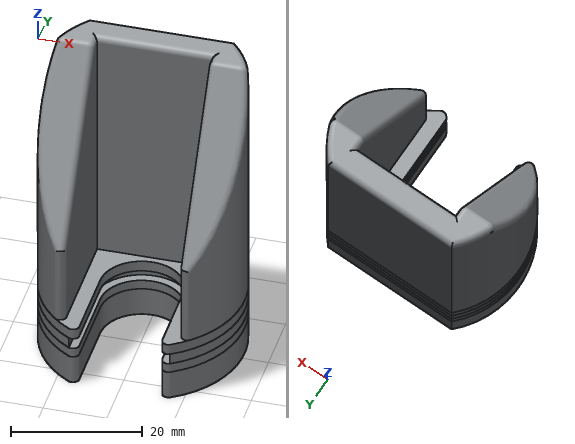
import cadquery as cq
import math

outer_radius = 16.0
back_y = 11.25
total_height = 50.0
edge_radius = 1.0

foot_top = 4.8
lower_plate_top = 6.4
spacer_top = 8.2
upper_plate_top = 10.0

slot_half_width = 6.5
slot_center_y = -0.85
spacer_setback = 1.4

pocket_half_width = 9.0
pocket_back_y = 6.7
slope_top_y = 4.95
slope_angle = 57.6

margin = 5.0
front_limit = -outer_radius - margin


def round_blank(bottom, top):
    """Round slab with a flat back."""
    height = top - bottom
    slab = cq.Workplane("XY").workplane(offset=bottom).circle(outer_radius).extrude(height)
    keep = (
        cq.Workplane("XY")
        .workplane(offset=bottom)
        .moveTo(0, (back_y + front_limit) / 2)
        .rect(2 * (outer_radius + margin), back_y - front_limit)
        .extrude(height)
    )
    return slab.intersect(keep)


def slotted_layer(bottom, top, half_width):
    """Layer with a round-ended slot running out through the front."""
    slot = (
        cq.Workplane("XY")
        .workplane(offset=bottom)
        .moveTo(-half_width, front_limit)
        .lineTo(-half_width, slot_center_y)
        .threePointArc((0, slot_center_y + half_width), (half_width, slot_center_y))
        .lineTo(half_width, front_limit)
        .close()
        .extrude(top - bottom)
    )
    return round_blank(bottom, top).cut(slot)


def plate(bottom, top):
    """Slotted layer with rounded slot lips."""
    return slotted_layer(bottom, top, slot_half_width).edges("|Z").edges("<Y").fillet(edge_radius)


def hood_wall():
    """Sharp-edged upright wall of the hood, before the front is sloped."""
    pocket = (
        cq.Workplane("XY")
        .workplane(offset=upper_plate_top)
        .moveTo(0, (pocket_back_y + front_limit) / 2)
        .rect(2 * pocket_half_width, pocket_back_y - front_limit)
        .extrude(total_height - upper_plate_top)
    )
    return round_blank(upper_plate_top, total_height).cut(pocket)


def front_wedge():
    """Block above the sloping front of the hood."""
    slope_run = slope_top_y - front_limit
    slope_drop = slope_run * math.tan(math.radians(slope_angle))
    return (
        cq.Workplane("YZ")
        .moveTo(slope_top_y, total_height)
        .lineTo(front_limit, total_height)
        .lineTo(front_limit, total_height - slope_drop)
        .close()
        .extrude(outer_radius + margin, both=True)
    )


def lip_trim():
    """Waste outside the round that joins the pocket side to the outer surface at the +X lip."""
    round_x = pocket_half_width + edge_radius
    center_distance = outer_radius - edge_radius
    round_y = -math.sqrt(center_distance**2 - round_x**2)
    outward_x = round_x / center_distance
    outward_y = round_y / center_distance
    reach = outer_radius + margin
    return (
        cq.Workplane("XY")
        .workplane(offset=upper_plate_top)
        .moveTo(pocket_half_width - margin, round_y)
        .lineTo(pocket_half_width, round_y)
        .threePointArc(
            (round_x, round_y - edge_radius),
            (outer_radius * outward_x, outer_radius * outward_y),
        )
        .lineTo(reach * outward_x, reach * outward_y)
        .lineTo(pocket_half_width - margin, reach * outward_y)
        .close()
        .extrude(total_height - upper_plate_top)
    )


def make_hood():
    """Open-fronted hood with rounded lips, top rim and sloping front."""
    sloped = hood_wall().cut(front_wedge())
    hood = sloped.edges("not(<Z or |Z)").fillet(edge_radius)
    trimmed = hood.cut(lip_trim())
    right_half = trimmed.intersect(
        cq.Workplane("XY").box(
            outer_radius + margin, -2 * front_limit, total_height + margin, centered=(False, True, False)
        )
    )
    return right_half.union(right_half.mirror("YZ")).clean()


foot = plate(0, foot_top)
lower_plate = plate(foot_top, lower_plate_top)
spacer = slotted_layer(lower_plate_top, spacer_top, slot_half_width + spacer_setback)
upper_plate = plate(spacer_top, upper_plate_top)
hood = make_hood()

result = cq.Compound.makeCompound(
    [foot.val(), lower_plate.val(), spacer.val(), upper_plate.val(), hood.val()]
)